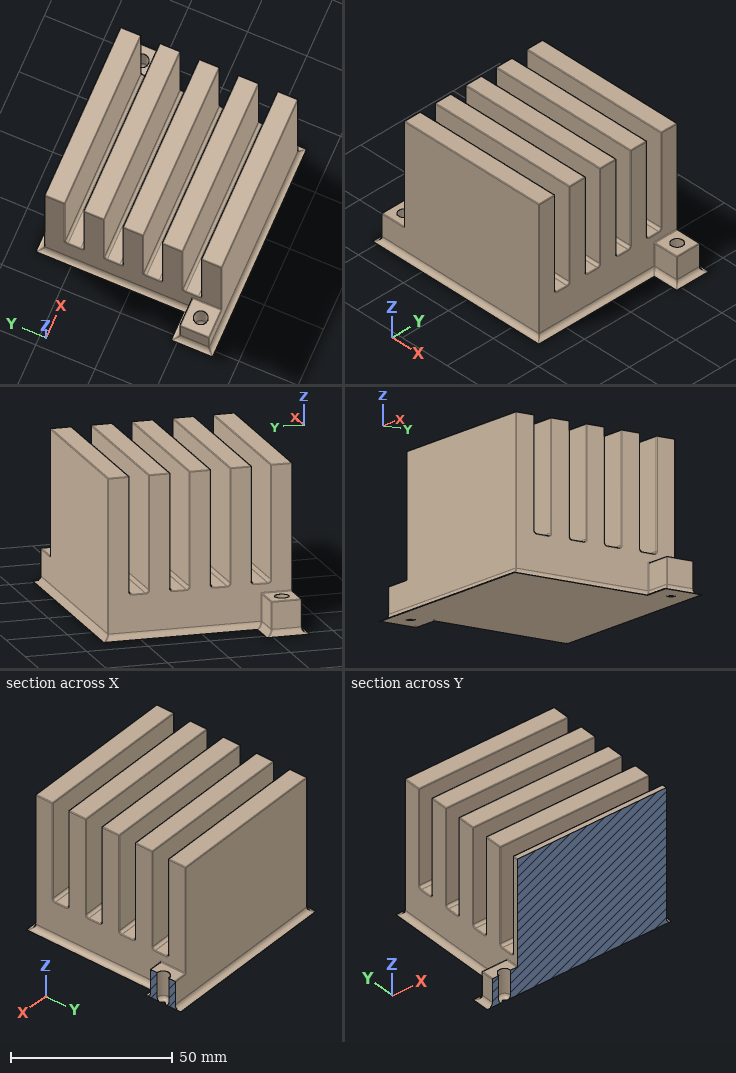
import cadquery as cq
import math

overall_x = 84.0
overall_y = 64.0
overall_z = 52.25
skirt_radius = 2.0
tab_size = 10.0
tab_top = 11.0
fin_count = 5
fin_thickness = 7.0
slot_floor = 14.2
slot_corner_radius = 1.0
hole_diameter = 4.5
opening_diameter = 1.5
edge_radius = 0.25
tolerance = 0.01

body_x = overall_x - 2 * (skirt_radius + tab_size)
body_y = overall_y - 2 * skirt_radius
slot_width = (body_y - fin_count * fin_thickness) / (fin_count - 1)
fin_pitch = fin_thickness + slot_width
tab_center_x = (body_x + tab_size) / 2
tab_center_y = (body_y - tab_size) / 2


def flared_wall_prism(plane, width, height, length):
    """Prism of the given width whose two long walls flare out at the foot, centred on the plane."""
    half = width / 2
    rim = half + skirt_radius
    arc_inset = skirt_radius * math.sqrt(0.5)
    arc_x = rim - arc_inset
    arc_z = skirt_radius - arc_inset
    return (
        cq.Workplane(plane)
        .moveTo(-rim, 0)
        .lineTo(rim, 0)
        .threePointArc((arc_x, arc_z), (half, skirt_radius))
        .lineTo(half, height)
        .lineTo(-half, height)
        .lineTo(-half, skirt_radius)
        .threePointArc((-arc_x, arc_z), (-rim, 0))
        .close()
        .extrude(length / 2, both=True)
    )


def flared_block(size_x, size_y, height):
    """Block with a flared skirt on all four sides; crossing two prisms mitres the skirt corners."""
    along_y = flared_wall_prism("XZ", size_x, height, size_y + 2 * skirt_radius)
    along_x = flared_wall_prism("YZ", size_y, height, size_x + 2 * skirt_radius)
    return along_y.intersect(along_x)


def fin_slot(center_y):
    """Cutter for one slot between fins, open at the top, with rounded floor corners."""
    slot_depth = overall_z - slot_floor
    return (
        cq.Workplane("XY")
        .box(body_x, slot_width, slot_depth, centered=(True, True, False))
        .edges("|X and <Z")
        .fillet(slot_corner_radius)
        .translate((0, center_y, slot_floor))
    )


def screw_hole():
    """Cutter for a screw hole whose wall curves in at the foot, leaving a small opening underneath."""
    hole_radius = hole_diameter / 2
    opening_radius = opening_diameter / 2
    curve_radius = hole_radius - opening_radius
    arc_x = opening_radius + curve_radius * math.sqrt(0.5)
    arc_z = curve_radius - curve_radius * math.sqrt(0.5)
    return (
        cq.Workplane("XZ")
        .lineTo(opening_radius, 0)
        .threePointArc((arc_x, arc_z), (hole_radius, curve_radius))
        .lineTo(hole_radius, tab_top)
        .lineTo(0, tab_top)
        .close()
        .revolve(360, (0, 0, 0), (0, 1, 0))
    )


def is_softened(edge):
    """True for all edges but those of the skirt and those along the slot floors."""
    box = edge.BoundingBox()
    is_in_skirt = box.zmin < skirt_radius - tolerance
    is_skirt_top = box.zmax < skirt_radius + tolerance
    spans_body = box.xlen > body_x - tolerance
    floor_top = slot_floor + slot_corner_radius
    is_slot_floor = spans_body and slot_floor - tolerance < box.zmin < floor_top + tolerance
    return not (is_in_skirt or is_skirt_top or is_slot_floor)


result = flared_block(body_x, body_y, overall_z)
for side in (-1, 1):
    tab = flared_block(tab_size, tab_size, tab_top)
    result = result.union(tab.translate((side * tab_center_x, side * tab_center_y, 0)))

for index in range(fin_count - 1):
    slot_y = (index - (fin_count - 2) / 2) * fin_pitch
    result = result.cut(fin_slot(slot_y))

result = result.clean()
softened_edges = [edge for edge in result.edges().vals() if is_softened(edge)]
result = result.newObject(softened_edges).fillet(edge_radius)

for side in (-1, 1):
    result = result.cut(screw_hole().translate((side * tab_center_x, side * tab_center_y, 0)))